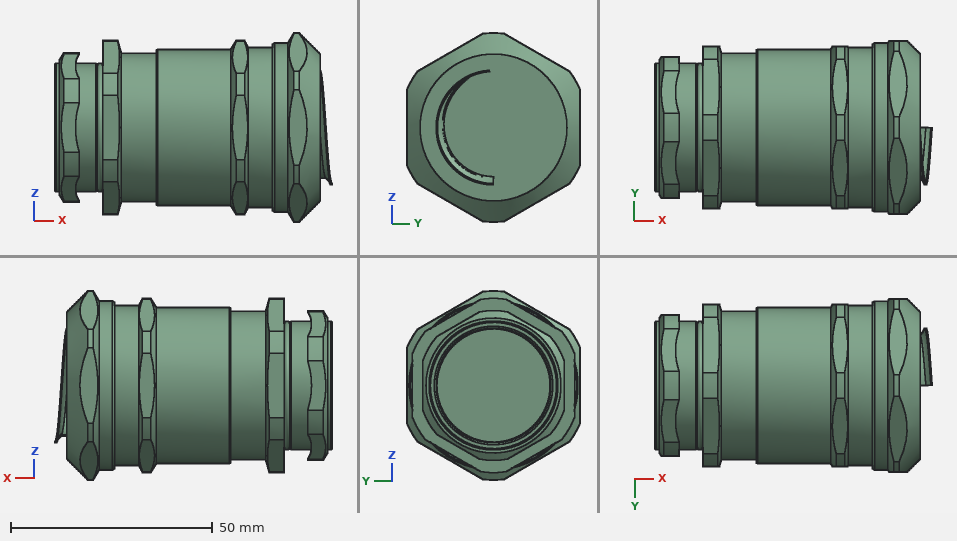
import cadquery as cq
import math


nipple_radius = 32.0 / 2
nipple_end = 10.45
nipple_chamfer = 0.35

bore_radius = 28.5 / 2
bore_mouth_chamfer = 0.5
bore_floor_radius = 14.05
bore_cone_start = 10.7
bore_cone_end = 11.35
bore_depth = 13.2

ring_section_radius = 0.7

front_sleeve_radius = 37.0 / 2
label_sleeve_radius = 38.8 / 2
rear_sleeve_radius = 39.8 / 2
collar_radius = 42 / 2
label_sleeve_start = 25.2
label_chamfer_length = 0.4
label_chamfer_radius = 38.5 / 2
collar_start = 54.0
collar_chamfer_length = 0.55
collar_chamfer_height = 0.35

flange_half_flats = 20.1
flange_corner_radius = 21.6
flange_start = 11.9
flange_corner_end = 15.6
flange_end = 16.5

mid_hex_start = 43.65
mid_hex_corner_start = 45.0
mid_hex_corner_end = 47.1
mid_hex_end = 48.0

cap_half_flats = 43.0 / 2
cap_corner_radius = 23.5
cap_start = 57.8
cap_corner_start = 59.35
cap_end = 65.9
cap_end_radius = 18.25
cap_corner_end = cap_end - (cap_corner_radius - cap_end_radius)

nut_half_flats = 17.55
nut_corner_radius = 18.6
nut_start = 1.1
nut_face_radius = 33.5 / 2
nut_corner_start = 2.3
nut_corner_end = 6.05
nut_undercut_depth = 2.35

ferrule_outer_radius = 25.2 / 2
ferrule_inner_radius = 24.4 / 2
ferrule_pitch = 6.05
ferrule_tube_length = 1.8
lip_outer_radius = 14.25
lip_inner_radius = 13.9
lip_end = 68.85
lip_length = 0.35
flare_length = 1.25
flare_bulge = 0.15


def revolve_about_x(points):
    """Turn a closed outline of (x, radius) points about the X axis."""
    return cq.Workplane("XY").polyline(points).close().revolve(360, (0, 0, 0), (1, 0, 0))


def hex_turned(half_flats, points):
    """Turned outline cut to a hexagon with flats facing +Y and -Y."""
    across_corners = 2 * half_flats / math.cos(math.pi / 6)
    first = min(x for x, _ in points)
    last = max(x for x, _ in points)
    prism = (
        cq.Workplane("YZ", origin=(first, 0, 0))
        .transformed(rotate=(0, 0, 90))
        .polygon(6, across_corners)
        .extrude(last - first)
    )
    return revolve_about_x(points).intersect(prism)


def make_core():
    """Nipple and sleeves, all round."""
    return revolve_about_x([
        (0, 0),
        (0, nipple_radius - nipple_chamfer),
        (nipple_chamfer, nipple_radius),
        (nipple_end - nipple_chamfer, nipple_radius),
        (nipple_end, nipple_radius - nipple_chamfer),
        (nipple_end, nipple_radius - ring_section_radius),
        (flange_start, nipple_radius - ring_section_radius),
        (flange_start, front_sleeve_radius),
        (label_sleeve_start, front_sleeve_radius),
        (label_sleeve_start, label_chamfer_radius),
        (label_sleeve_start + label_chamfer_length, label_sleeve_radius),
        (mid_hex_end, label_sleeve_radius),
        (mid_hex_end, rear_sleeve_radius),
        (collar_start, rear_sleeve_radius),
        (collar_start, collar_radius - collar_chamfer_height),
        (collar_start + collar_chamfer_length, collar_radius),
        (cap_start, collar_radius),
        (cap_start, 0),
    ])


def make_sealing_ring():
    """Round ring lying against the flange, flush with the outside of the nipple."""
    center_x = flange_start - ring_section_radius
    center_radius = nipple_radius - ring_section_radius
    section = cq.Workplane("XY").moveTo(center_x, center_radius)
    return section.circle(ring_section_radius).revolve(360, (0, 0, 0), (1, 0, 0))


def make_flange():
    return hex_turned(flange_half_flats, [
        (flange_start, 0),
        (flange_start, flange_corner_radius),
        (flange_corner_end, flange_corner_radius),
        (flange_end, front_sleeve_radius),
        (flange_end, 0),
    ])


def make_mid_hex():
    return hex_turned(flange_half_flats, [
        (mid_hex_start, 0),
        (mid_hex_start, label_sleeve_radius),
        (mid_hex_corner_start, flange_corner_radius),
        (mid_hex_corner_end, flange_corner_radius),
        (mid_hex_end, rear_sleeve_radius),
        (mid_hex_end, 0),
    ])


def make_cap():
    return hex_turned(cap_half_flats, [
        (cap_start, 0),
        (cap_start, collar_radius),
        (cap_corner_start, cap_corner_radius),
        (cap_corner_end, cap_corner_radius),
        (cap_end, cap_end_radius),
        (cap_end, 0),
    ])


def make_bore():
    return revolve_about_x([
        (0, 0),
        (0, bore_radius + bore_mouth_chamfer),
        (bore_mouth_chamfer, bore_radius),
        (bore_cone_start, bore_radius),
        (bore_cone_end, bore_floor_radius),
        (bore_depth, bore_floor_radius),
        (bore_depth, 0),
    ])


def flare_midpoint(start, end):
    """Middle of a flare arc, bulging from its chord towards the axis and the open end."""
    radius = (start[0] + end[0]) / 2 - flare_bulge
    height = (start[1] + end[1]) / 2 + flare_bulge
    return (radius, height)


def make_ferrule():
    """Flared strip swept half a turn from +Z through -Y to -Z while moving along +X."""
    climb = ferrule_pitch / 2
    lip_top = lip_end - climb
    lip_base = lip_top - lip_length
    bend = lip_base - flare_length
    tube_start = bend - ferrule_tube_length
    outer_bend = (ferrule_outer_radius, bend)
    outer_flare_end = (lip_outer_radius, lip_base)
    inner_bend = (ferrule_inner_radius, bend)
    inner_flare_end = (lip_inner_radius, lip_base)
    profile = (
        cq.Workplane("XZ")
        .moveTo(ferrule_inner_radius, tube_start)
        .lineTo(ferrule_outer_radius, tube_start)
        .lineTo(*outer_bend)
        .threePointArc(flare_midpoint(outer_bend, outer_flare_end), outer_flare_end)
        .lineTo(lip_outer_radius, lip_top)
        .lineTo(lip_inner_radius, lip_top)
        .lineTo(*inner_flare_end)
        .threePointArc(flare_midpoint(inner_bend, inner_flare_end), inner_bend)
        .close()
    )
    path = cq.Wire.makeHelix(ferrule_pitch, climb, ferrule_outer_radius)
    strip = profile.sweep(cq.Workplane(path), isFrenet=True)
    return strip.rotate((0, 0, 0), (1, 0, 1), 180)


def make_gland():
    """Gland body, bored at the nipple and carrying the ferrule at the far end."""
    body = make_core().union(make_flange()).union(make_mid_hex()).union(make_cap())
    return body.union(make_sealing_ring()).cut(make_bore()).union(make_ferrule())


def make_locknut():
    """Hexagon nut around the nipple, with a coned front and an undercut back."""
    return hex_turned(nut_half_flats, [
        (nut_start, nipple_radius),
        (nut_start, nut_face_radius),
        (nut_corner_start, nut_corner_radius),
        (nut_corner_end, nut_corner_radius),
        (nut_corner_end - nut_undercut_depth, nipple_radius),
    ])


gland = make_gland()
locknut = make_locknut()
result = cq.Compound.makeCompound([gland.val(), locknut.val()])